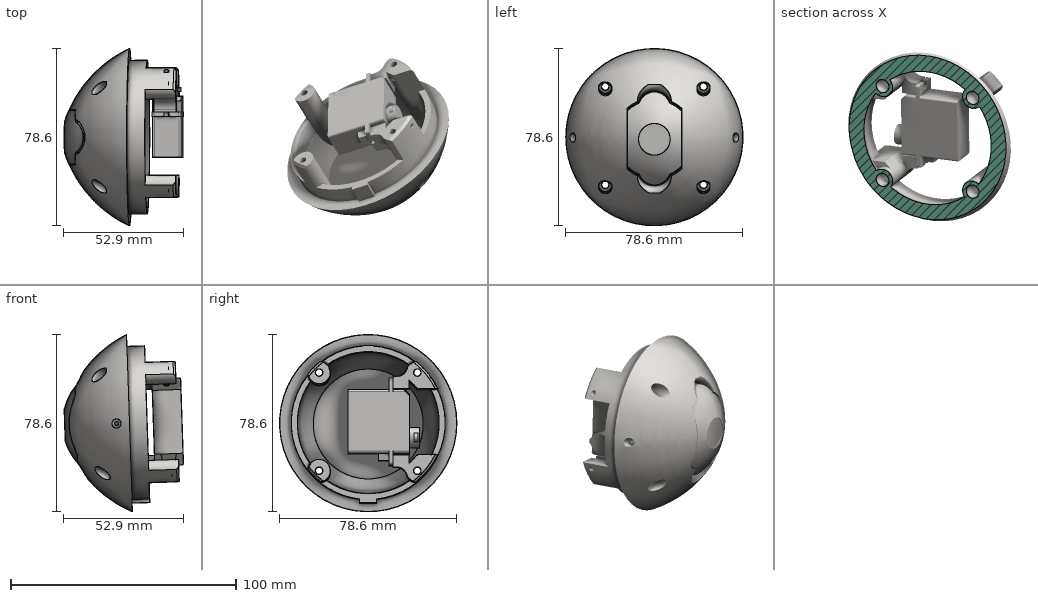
import cadquery as cq
import math

TILT = -1.9

RIM_R = 39.3
NOSE_X = -28.75
DOME_MID = (-18.1, 25.6)
DOME_NOSE = (-28.75, 6.75)
CAVITY_RIM_R = 31.4
CAVITY_MID = (-6.7, 28.6)
CAVITY_NOSE = (-11.8, 24.35)

WELL_OFFSET = 21.75
WELL_D = 5.9
WELL_TUBE_D = 10.0
WELL_FLOOR_X = 18.1
SCREW_D = 3.2

SIDE_HOLE_X = -5.7
SIDE_HEAD_D = 4.0
SIDE_HEAD_FLOOR = 33.4
SIDE_PILOT_D = 1.7
SIDE_PILOT_END = 30.25

CAP_HALF_WIDTH = 11.95
CAP_ROUND_R = 17.3
CAP_FACE_R = 26.7
CAP_FACE_CENTRE_X = -3.0
CAP_EAR_D = 14.2
CAP_EAR_Z = 13.6
CAP_BACK_X = -15.7
CAP_SIDE_GAP = 0.2
CAP_END_GAP = 0.7
CAP_EAR_GAP = 0.3
CAP_RECESS_D = 14.0
CAP_RECESS_DEPTH = 0.5
SCOOP_R = 7.55
SCOOP_Z = 13.35
SCOOP_LIP_R = 3.15

RING_R = 34.1
RING_LENGTH = 7.85
KEY_WIDTH = 7.55
KEY_R = 35.5
POST_END_X = 21.2
POST_EDGE_CHAMFER = 1.0

SERVO_X0 = 10.5
SERVO_X1 = 23.3
SERVO_HALF_HEIGHT = 14.1
SERVO_FRONT_Y = -8.9
SERVO_BACK_Y = 18.2
SERVO_EDGE_FILLET = 0.95
TAB_Y0 = 9.2
TAB_Y1 = 11.1
TAB_HALF_HEIGHT = 19.3
TAB_HOLE_Z = 17.4
TAB_HOLE_D = 3.2
TAB_SLOT_WIDTH = 2.2
CASE_BEVEL = 2.2
CABLE_BLOCK_TOP = 6.8
CABLE_BLOCK_BOTTOM = 5.6
CABLE_BLOCK_HEIGHT = 3.15
CABLE_BLOCK_DEPTH = 4.7

BOSS_X0 = 11.4
BOSS_Z0 = 14.6
BOSS_BLEND_R = 4.99
BOSS_BLEND_Y = 12.3
BOSS_ROOT_Y = 18.1
BOSS_HOLE_D = 2.2

HORN_Z = -7.1
HUB_D = 9.0
HUB_END_Y = 22.8
ARM_Y0 = 20.2
ARM_Y1 = 22.0
ARM_WIDTH = 4.0
ARM_TIP_X = 22.6

SERVO_MID_X = (SERVO_X0 + SERVO_X1) / 2
INNER_POST_Y = WELL_OFFSET - WELL_TUBE_D / 2
SIGNS = (-1, 1)
WELL_CENTRES = [(y * WELL_OFFSET, z * WELL_OFFSET) for y in SIGNS for z in SIGNS]


def box(x0, x1, y0, y1, z0, z1):
    return cq.Workplane("XY").box(x1 - x0, y1 - y0, z1 - z0, centered=False).translate((x0, y0, z0))


def rod_x(x0, x1, diameter, y, z):
    return cq.Workplane("YZ", origin=(x0, y, z)).circle(diameter / 2).extrude(x1 - x0)


def rod_y(y0, y1, diameter, x, z):
    return cq.Workplane("XZ", origin=(x, y1, z)).circle(diameter / 2).extrude(y1 - y0)


def spin(outline):
    return outline.close().revolve(360, (0, 0, 0), (1, 0, 0))


def dome_envelope():
    outline = cq.Workplane("XY").lineTo(0, RIM_R)
    return spin(outline.threePointArc(DOME_MID, DOME_NOSE).lineTo(NOSE_X, 0))


def dome_cavity():
    outline = cq.Workplane("XY").lineTo(0, CAVITY_RIM_R)
    return spin(outline.threePointArc(CAVITY_MID, CAVITY_NOSE).lineTo(CAVITY_NOSE[0], 0))


def cap_prism(half_width, round_r, ear_d):
    """Slab with flat sides, round ends and an ear at the top and at the bottom."""
    slab = rod_x(NOSE_X, CAP_BACK_X, 2 * round_r, 0, 0)
    slab = slab.intersect(box(NOSE_X, CAP_BACK_X, -half_width, half_width, -RIM_R, RIM_R))
    for side in SIGNS:
        slab = slab.union(rod_x(NOSE_X, CAP_BACK_X, ear_d, 0, side * CAP_EAR_Z))
    return slab


def finger_scoop(side):
    """Round cut beside an ear of the cap that bends outward over a rounded lip."""
    bend_r = SCOOP_R + SCOOP_LIP_R
    start = cq.Workplane("YZ", origin=(CAP_BACK_X, 0, SCOOP_Z)).circle(SCOOP_R)
    scoop = start.revolve(90, (0, bend_r, 0), (1, bend_r, 0))
    return scoop if side > 0 else scoop.mirror("XY")


def make_dome():
    envelope = dome_envelope()
    tubes = cq.Workplane("YZ", origin=(NOSE_X, 0, 0)).pushPoints(WELL_CENTRES)
    tubes = tubes.circle(WELL_TUBE_D / 2).extrude(-NOSE_X)
    dome = envelope.cut(dome_cavity()).union(tubes.intersect(envelope))
    for y, z in WELL_CENTRES:
        dome = dome.cut(rod_x(NOSE_X, 0, WELL_D, y, z))
    for near, far, diameter in (
        (SIDE_HEAD_FLOOR, RIM_R, SIDE_HEAD_D),
        (SIDE_PILOT_END, RIM_R, SIDE_PILOT_D),
    ):
        dome = dome.cut(rod_y(near, far, diameter, SIDE_HOLE_X, 0))
        dome = dome.cut(rod_y(-far, -near, diameter, SIDE_HOLE_X, 0))
    dome = dome.cut(
        cap_prism(
            CAP_HALF_WIDTH + CAP_SIDE_GAP,
            CAP_ROUND_R + CAP_END_GAP,
            CAP_EAR_D + 2 * CAP_EAR_GAP,
        )
    )
    for side in SIGNS:
        dome = dome.cut(finger_scoop(side))
    return dome


def make_cap():
    ball = cq.Workplane("XY", origin=(CAP_FACE_CENTRE_X, 0, 0)).sphere(CAP_FACE_R)
    recess = rod_x(NOSE_X, NOSE_X + CAP_RECESS_DEPTH, CAP_RECESS_D, 0, 0)
    return cap_prism(CAP_HALF_WIDTH, CAP_ROUND_R, CAP_EAR_D).intersect(ball).cut(recess)


def side_post(side):
    """Post at +Y: round toward the middle, filled out to the ring edge on the other sides."""
    tube_r = WELL_TUBE_D / 2
    bend = tube_r * math.sqrt(0.5)
    foot_y = 2 * (WELL_OFFSET - bend) - BOSS_Z0
    outline = (
        cq.Workplane("YZ")
        .moveTo(foot_y, BOSS_Z0)
        .lineTo(RIM_R, BOSS_Z0)
        .lineTo(RIM_R, RIM_R)
        .lineTo(WELL_OFFSET, RIM_R)
        .lineTo(WELL_OFFSET, WELL_OFFSET + tube_r)
        .threePointArc((INNER_POST_Y, WELL_OFFSET), (WELL_OFFSET - bend, WELL_OFFSET - bend))
        .close()
    )
    post = outline.extrude(POST_END_X)
    return post if side > 0 else post.mirror("XY")


def servo_boss(side):
    """Block from a post to the servo tab, with a hollow blend up to the post."""
    tube_r = WELL_TUBE_D / 2
    reach_y = WELL_OFFSET - BOSS_BLEND_Y
    reach = tube_r + BOSS_BLEND_R
    centre_z = WELL_OFFSET + math.sqrt(reach**2 - reach_y**2)
    touch_y = WELL_OFFSET - reach_y * tube_r / reach
    touch_z = WELL_OFFSET + (centre_z - WELL_OFFSET) * tube_r / reach
    mid_angle = math.atan2(touch_z - centre_z, touch_y - BOSS_BLEND_Y) / 2 - math.pi / 4
    blend_mid = (
        BOSS_BLEND_Y + BOSS_BLEND_R * math.cos(mid_angle),
        centre_z + BOSS_BLEND_R * math.sin(mid_angle),
    )
    blend_end = (BOSS_BLEND_Y, centre_z - BOSS_BLEND_R)
    outline = (
        cq.Workplane("YZ", origin=(BOSS_X0, 0, 0))
        .moveTo(TAB_Y1, BOSS_Z0)
        .lineTo(BOSS_ROOT_Y, BOSS_Z0)
        .lineTo(BOSS_ROOT_Y, WELL_OFFSET)
        .lineTo(touch_y, touch_z)
        .threePointArc(blend_mid, blend_end)
        .lineTo(TAB_Y1, blend_end[1])
        .close()
    )
    boss = outline.extrude(POST_END_X - BOSS_X0)
    return boss if side > 0 else boss.mirror("XY")


def make_ring():
    limit = cq.Workplane("YZ").circle(RING_R).extrude(POST_END_X)
    limit = limit.faces(">X").edges().chamfer(POST_EDGE_CHAMFER)

    posts = cq.Workplane("YZ").pushPoints(WELL_CENTRES[:2]).circle(WELL_TUBE_D / 2).extrude(POST_END_X)
    for side in SIGNS:
        posts = posts.union(side_post(side)).union(servo_boss(side))
    band = cq.Workplane("YZ").circle(RIM_R).circle(CAVITY_RIM_R).extrude(RING_LENGTH)
    key = box(0, RING_LENGTH, -KEY_WIDTH / 2, KEY_WIDTH / 2, -KEY_R, -CAVITY_RIM_R)
    ring = band.union(posts).intersect(limit).union(key)

    for y, z in WELL_CENTRES:
        ring = ring.cut(rod_x(-RING_LENGTH, WELL_FLOOR_X, WELL_D, y, z))
        ring = ring.cut(rod_x(-RING_LENGTH, 2 * POST_END_X, SCREW_D, y, z))
    for side in SIGNS:
        ring = ring.cut(rod_y(TAB_Y1, RING_R, BOSS_HOLE_D, SERVO_MID_X, side * TAB_HOLE_Z))
    return ring


def cable_block():
    """Tapered block under the case, in front of the lower tab."""
    top = -SERVO_HALF_HEIGHT
    bottom = top - CABLE_BLOCK_HEIGHT
    outline = cq.Workplane("XZ", origin=(SERVO_MID_X, TAB_Y0, 0)).polyline(
        [
            (-CABLE_BLOCK_TOP / 2, top),
            (CABLE_BLOCK_TOP / 2, top),
            (CABLE_BLOCK_BOTTOM / 2, bottom),
            (-CABLE_BLOCK_BOTTOM / 2, bottom),
        ]
    )
    return outline.close().extrude(CABLE_BLOCK_DEPTH)


def make_servo():
    case = box(SERVO_X0, SERVO_X1, SERVO_FRONT_Y, SERVO_BACK_Y, -SERVO_HALF_HEIGHT, SERVO_HALF_HEIGHT)
    case = case.edges("|Y").fillet(SERVO_EDGE_FILLET)
    bevel = (
        cq.Workplane("YZ", origin=(SERVO_X0, 0, 0))
        .moveTo(SERVO_BACK_Y, SERVO_HALF_HEIGHT)
        .lineTo(SERVO_BACK_Y - CASE_BEVEL, SERVO_HALF_HEIGHT)
        .lineTo(SERVO_BACK_Y, SERVO_HALF_HEIGHT - CASE_BEVEL)
        .close()
    )
    case = case.cut(bevel.extrude(SERVO_X1 - SERVO_X0))
    tabs = box(SERVO_X0, SERVO_X1, TAB_Y0, TAB_Y1, -TAB_HALF_HEIGHT, TAB_HALF_HEIGHT)
    tabs = tabs.edges("|Y").fillet(SERVO_EDGE_FILLET)
    half_slot = TAB_SLOT_WIDTH / 2
    for side in SIGNS:
        slot_ends = sorted((side * TAB_HOLE_Z, side * RIM_R))
        tabs = tabs.cut(rod_y(TAB_Y0, TAB_Y1, TAB_HOLE_D, SERVO_MID_X, side * TAB_HOLE_Z))
        tabs = tabs.cut(box(SERVO_MID_X - half_slot, SERVO_MID_X + half_slot, TAB_Y0, TAB_Y1, *slot_ends))
    return case.union(tabs).union(cable_block())


def make_horn():
    tip_r = ARM_WIDTH / 2
    tip_x = ARM_TIP_X - tip_r
    hub = rod_y(SERVO_BACK_Y, HUB_END_Y, HUB_D, SERVO_MID_X, HORN_Z)
    arm = box(SERVO_MID_X, tip_x, ARM_Y0, ARM_Y1, HORN_Z - tip_r, HORN_Z + tip_r)
    return hub.union(arm).union(rod_y(ARM_Y0, ARM_Y1, ARM_WIDTH, tip_x, HORN_Z))


def tipped(body):
    return body.rotate((0, 0, 0), (0, 1, 0), TILT).val()


dome = tipped(make_dome())
cap = tipped(make_cap())
ring = tipped(make_ring())
servo = tipped(make_servo())
horn = tipped(make_horn())

result = cq.Compound.makeCompound([dome, cap, ring, servo, horn])